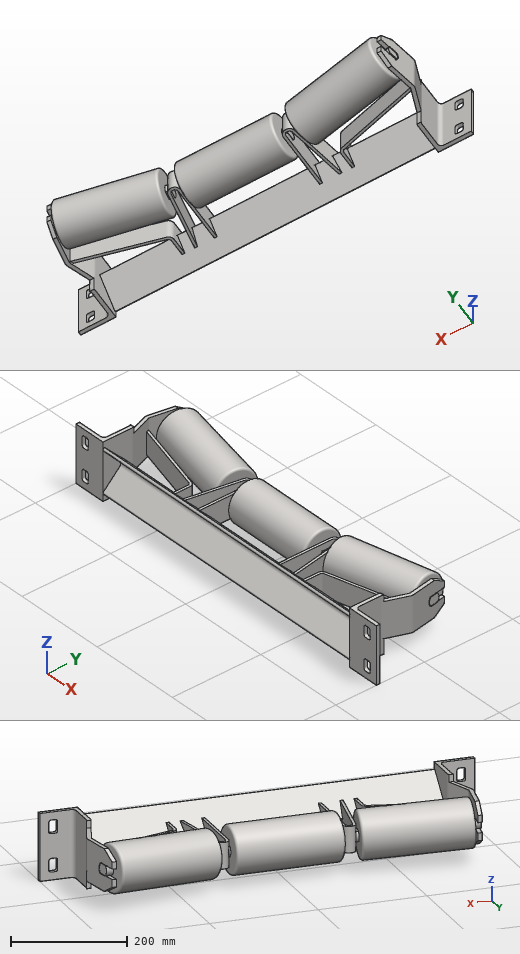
import cadquery as cq
import math

overall_length = 800.0

beam_length = 656.0
beam_leg = 70.0
beam_thickness = 6.0
beam_root_radius = 9.0
beam_toe_radius = 3.0

plate_thickness = 8.0
flange_height = 125.0
flange_bend_radius = 8.0
foot_top_y = 70.0
arm_bend_y = 67.0
arm_lean_out = 20.0
arm_fold_y = 120.0
arm_end_y = 205.0
arm_bend_radius = 6.0
arm_height = 78.0
arm_end_height = 46.0
arm_chamfer_y = 178.0
bolt_slot_width = 16.0
bolt_slot_height = 25.0
bolt_slot_corner = 4.0
bolt_slot_x = 375.0
bolt_slot_z = 35.0

strip_thickness = 6.0
strip_height = 49.0
strip_bend_radius = 6.0
strut_x = 173.0
strut_knee_y = 70.0
strut_angle = 15.0
fork_inner_x = 107.0
fork_outer_x = 125.0
fork_top_y = 155.0

roller_diameter = 90.0
roller_length = 200.0
roller_edge_radius = 5.0
axle_radius = 13.0
axle_flats = 19.0
axle_overhang_fork = 10.0
axle_overhang_arm = 14.0
centre_roller_y = 133.0
side_roller_x = 234.0
side_roller_y = 156.0
side_roller_z = 5.0
arm_axis_z = 10.0
troughing_angle = 10.0

foot_x = beam_length / 2 + plate_thickness / 2
ridge_y = (beam_leg + beam_thickness) * math.sqrt(0.5) - beam_toe_radius * (math.sqrt(2) - 1)
strip_end_y = ridge_y - strip_height / 2
side_roller_tilt = math.degrees(math.asin((arm_axis_z - side_roller_z) / (roller_length / 2)))


def slope(angle):
    return math.tan(math.radians(angle))


def offset_path(path, distance):
    """Polyline of (x, y) points shifted sideways to its left, with mitred corners."""
    headings = [math.atan2(q[1] - p[1], q[0] - p[0]) for p, q in zip(path, path[1:])]
    before = headings[:1] + headings
    after = headings + headings[-1:]
    shifted = []
    for (x, y), a, b in zip(path, before, after):
        normal = (a + b) / 2 + math.pi / 2
        reach = distance / math.cos((b - a) / 2)
        shifted.append((x + reach * math.cos(normal), y + reach * math.sin(normal)))
    return shifted


def bent_plate(path, thickness, height, inner_radii, outer_radii):
    """Plate centred on Z = 0 whose mid-line is `path`, with one radius pair per bend."""
    left = offset_path(path, thickness / 2)
    right = offset_path(path, -thickness / 2)
    plate = cq.Workplane("XY").polyline(left + right[::-1]).close().extrude(height / 2, both=True)
    for i, (inner, outer) in enumerate(zip(inner_radii, outer_radii), start=1):
        (ax, ay), (bx, by), (cx, cy) = path[i - 1:i + 2]
        turns_left = (bx - ax) * (cy - by) - (by - ay) * (cx - bx) > 0
        left_radius, right_radius = (inner, outer) if turns_left else (outer, inner)
        for point, radius in ((left[i], left_radius), (right[i], right_radius)):
            if radius > 0:
                corner = cq.selectors.NearestToPointSelector((*point, 0))
                plate = plate.edges("|Z").edges(corner).fillet(radius)
    return plate


def both_sides(left_body):
    """The left-hand body and its mirror image on the right."""
    return [left_body, left_body.mirror("YZ")]


def make_beam_wedge():
    """Solid right-angled wedge enclosed by the outer faces of the beam."""
    half = beam_leg * math.sqrt(0.5)
    return (
        cq.Workplane("YZ")
        .polyline([(ridge_y, 0), (ridge_y - half, half), (ridge_y - half, -half)])
        .close()
        .extrude(beam_length / 2, both=True)
    )


def make_beam():
    section = (
        cq.Workplane("XY")
        .polyline([
            (0, 0), (beam_leg, 0), (beam_leg, beam_thickness), (beam_thickness, beam_thickness),
            (beam_thickness, beam_leg), (0, beam_leg),
        ])
        .close()
        .extrude(beam_length)
    )
    near = cq.selectors.NearestToPointSelector
    mid = beam_length / 2
    section = section.edges("|Z").edges(near((beam_thickness, beam_thickness, mid))).fillet(beam_root_radius)
    for toe in ((beam_leg, beam_thickness), (beam_thickness, beam_leg)):
        section = section.edges("|Z").edges(near((*toe, mid))).fillet(beam_toe_radius)
    return (
        section
        .translate((0, 0, -mid))
        .rotate((0, 0, 0), (0, 0, 1), 135)
        .rotate((0, 0, 0), (1, 1, 1), 120)
        .translate((0, ridge_y, 0))
    )


def make_roller(left_overhang, right_overhang):
    """Roller along X centred on the origin, with a flatted axle end on each side."""
    half = roller_length / 2
    drum = (
        cq.Workplane("YZ", origin=(-half, 0, 0)).circle(roller_diameter / 2).extrude(roller_length)
        .edges("%CIRCLE").fillet(roller_edge_radius)
    )
    length = roller_length + left_overhang + right_overhang
    axle = cq.Workplane("YZ", origin=(-half - left_overhang, 0, 0)).circle(axle_radius).extrude(length)
    axle = axle.intersect(cq.Workplane("XY").box(2 * length, 2 * axle_radius, axle_flats))
    return drum.union(axle)


def make_centre_roller():
    return make_roller(axle_overhang_fork, axle_overhang_fork).translate((0, centre_roller_y, 0))


def place_at_left(body):
    """Moves a body from the frame of a roller at the origin to the left-hand roller."""
    return (
        body
        .rotate((0, 0, 0), (0, 1, 0), side_roller_tilt)
        .rotate((0, 0, 0), (0, 0, 1), -troughing_angle)
        .translate((-side_roller_x, side_roller_y, side_roller_z))
    )


def make_left_roller():
    return place_at_left(make_roller(axle_overhang_arm, axle_overhang_fork))


def make_left_strut(end_x):
    """Brace from the beam up to the fold of the bracket arm, where it is welded on."""
    knee = (-strut_x, strut_knee_y)
    end = (end_x, strut_knee_y + (-strut_x - end_x) * slope(strut_angle))
    strut = bent_plate(
        [(-strut_x, strip_end_y), knee, end], strip_thickness, strip_height,
        [strip_bend_radius], [strip_bend_radius + strip_thickness],
    )
    return strut.cut(make_beam_wedge())


def make_bracket_envelope():
    """Foot and tapered arm extended along X, for trimming the bent plate."""
    reach = overall_length / 2
    foot = cq.Workplane("XY").box(2 * reach, foot_top_y, flange_height).translate((0, foot_top_y / 2, 0))
    half = arm_height / 2
    end_half = arm_end_height / 2
    arm = (
        cq.Workplane("YZ", origin=(0, 0, arm_axis_z))
        .polyline([
            (0, -half), (arm_chamfer_y, -half), (arm_end_y, -end_half),
            (arm_end_y, end_half), (arm_chamfer_y, half), (0, half),
        ])
        .close()
        .extrude(reach, both=True)
    )
    return foot.union(arm)


def make_axle_slot():
    """Open slot in the left arm, as wide as the axle flats, from the axle to the arm's end."""
    length = 4 * plate_thickness
    slot = (
        cq.Workplane("XY")
        .box(length, arm_end_y, axle_flats, centered=(True, False, True))
        .translate((-(roller_length + length) / 2, 0, 0))
    )
    return place_at_left(slot)


def make_left_bracket(roller):
    """Flange, foot and arm bent from one plate, with the strut joined to the arm's fold."""
    fold_x = -foot_x - (arm_fold_y - arm_bend_y) * slope(arm_lean_out)
    tip_y = arm_end_y + plate_thickness
    tip_x = fold_x + (tip_y - arm_fold_y) * slope(troughing_angle)
    path = [
        (-overall_length / 2, plate_thickness / 2), (-foot_x, plate_thickness / 2),
        (-foot_x, arm_bend_y), (fold_x, arm_fold_y), (tip_x, tip_y),
    ]
    outer = arm_bend_radius + plate_thickness
    bracket = bent_plate(
        path, plate_thickness, flange_height,
        [flange_bend_radius, arm_bend_radius, arm_bend_radius], [0, outer, outer],
    )
    bracket = bracket.intersect(make_bracket_envelope())

    bolt_slots = (
        cq.Workplane("XZ")
        .pushPoints([(-bolt_slot_x, -bolt_slot_z), (-bolt_slot_x, bolt_slot_z)])
        .rect(bolt_slot_width, bolt_slot_height)
        .extrude(plate_thickness * 2, both=True)
        .edges("|Y").fillet(bolt_slot_corner)
    )
    bracket = bracket.cut(bolt_slots).cut(make_axle_slot()).union(make_left_strut(fold_x))
    return bracket.cut(roller)


def make_left_fork(rollers):
    """Inverted U with one upright and one leaning leg, pierced by the axles of two rollers."""
    foot_shift = (fork_top_y - strip_end_y) * slope(troughing_angle)
    path = [
        (-fork_inner_x, strip_end_y), (-fork_inner_x, fork_top_y),
        (-fork_outer_x, fork_top_y), (-fork_outer_x - foot_shift, strip_end_y),
    ]
    outer = strip_bend_radius + strip_thickness
    fork = bent_plate(path, strip_thickness, strip_height, [strip_bend_radius] * 2, [outer] * 2)
    fork = fork.cut(make_beam_wedge())
    for roller in rollers:
        fork = fork.cut(roller)
    return fork


beam = make_beam()
centre_roller = make_centre_roller()
left_roller = make_left_roller()
side_rollers = both_sides(left_roller)
brackets = both_sides(make_left_bracket(left_roller))
forks = both_sides(make_left_fork([centre_roller, left_roller]))

bodies = [beam, centre_roller, *side_rollers, *brackets, *forks]
result = cq.Compound.makeCompound([body.val() for body in bodies])